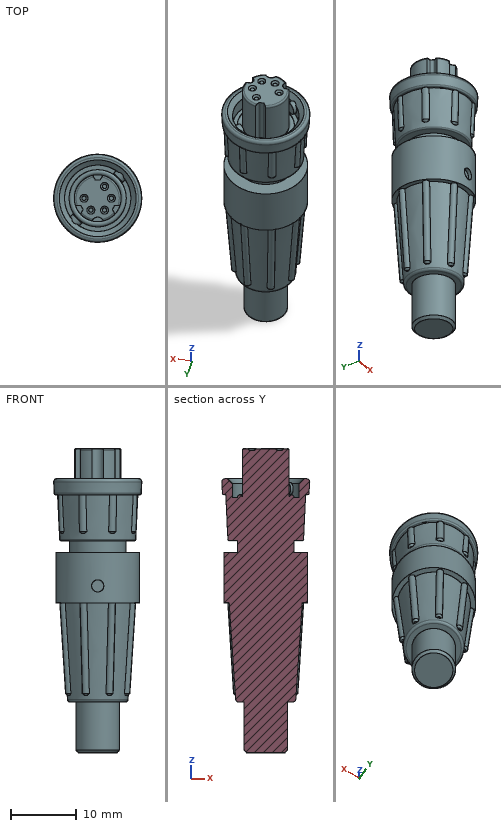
import cadquery as cq
import math

overall_length = 46.55
handle_bottom = 7.78
collar_bottom = 22.95
collar_top = 30.7
nut_bottom = 32.45
rim_bottom = 39.5
rim_top = 42.0

sleeve_radius = 3.35
sleeve_end_chamfer = 0.4

handle_bottom_radius = 4.6
handle_top_radius = 5.65
handle_edge_fillet = 0.4
handle_rib_bottom = 8.8
handle_rib_radius = 0.55
handle_rib_axis_bottom = 4.7
handle_rib_axis_top = 5.7

collar_radius = 6.43
collar_hole_radius = 0.95
collar_hole_depth = 0.6
collar_hole_z = 25.55
neck_radius = 4.35

nut_bottom_radius = 5.8
nut_top_radius = 6.15
nut_edge_fillet = 0.25
nut_rib_bottom = 33.55
nut_rib_radius = 0.65
nut_rib_axis_bottom = 5.65
nut_rib_axis_top = 5.8
rib_end_chamfer = 0.33
rib_count = 8

rim_radius = 6.75
rim_bottom_radius = 6.65
rim_widest = 41.45
rim_top_fillet = 0.5
rim_bottom_fillet = 0.3
cavity_mouth_radius = 5.85
cavity_radius = 5.08
cavity_depth = 2.9

pin_radius = 1.0
pin_tip_distance = 4.4
pin_depth = 1.6
pin_angles = (45, 225)

seal_outer_radius = 4.38
insert_radius = 3.6
insert_end_fillet = 0.3

contact_circle_radius = 2.1
contact_angles = (0, 60, 180, 240, 300)
contact_mouth_radius = 0.6
contact_floor_radius = 0.33
contact_depth = 0.3

keyway_angles = (90, 210, 330)
keyway_floor_distance = 2.8
keyway_floor_width = 0.75
keyway_corner_fillet = 0.15
keyway_overrun = 0.45
keyway_flare_angle = 30
round_keyway_radius = 0.95
round_keyway_distance = 3.8

cavity_floor = rim_top - cavity_depth


def disc(radius, bottom, top):
    return cq.Workplane("XY").workplane(offset=bottom).circle(radius).extrude(top - bottom)


def cone(bottom_radius, top_radius, bottom, top):
    profile = [(0, bottom), (bottom_radius, bottom), (top_radius, top), (0, top)]
    return cq.Workplane("XZ").polyline(profile).close().revolve(360, (0, 0), (0, 1))


def ribs(radius, axis_bottom, axis_top, bottom, top):
    """Round ribs that lean with a tapered body, spaced evenly around it."""
    slope = cq.Vector(axis_top - axis_bottom, 0, top - bottom)
    start = cq.Plane(origin=(axis_bottom, 0, bottom), xDir=(0, 1, 0), normal=slope.toTuple())
    rib = cq.Workplane(start).circle(radius).extrude(slope.Length)
    rib = rib.faces("<Z").chamfer(rib_end_chamfer)
    pitch = 360 / rib_count
    angles = [(index + 0.5) * pitch for index in range(rib_count)]
    return [rib.rotate((0, 0, 0), (0, 0, 1), angle).val() for angle in angles]


def add_all(body, solids):
    for solid in solids:
        body = body.union(cq.Workplane(solid))
    return body


def make_handle():
    sleeve = disc(sleeve_radius, 0, handle_bottom).faces("<Z").chamfer(sleeve_end_chamfer)
    grip = cone(handle_bottom_radius, handle_top_radius, handle_bottom, collar_bottom)
    grip = grip.faces("<Z").edges().fillet(handle_edge_fillet)
    grip = add_all(grip, ribs(handle_rib_radius, handle_rib_axis_bottom, handle_rib_axis_top,
                              handle_rib_bottom, collar_bottom))
    return sleeve.union(grip)


def make_collar():
    collar = disc(collar_radius, collar_bottom, collar_top)
    hole = (
        cq.Workplane("XZ", origin=(0, -collar_radius, 0))
        .center(0, collar_hole_z)
        .circle(collar_hole_radius)
        .extrude(-collar_hole_depth)
    )
    return collar.cut(hole).union(disc(neck_radius, collar_top, nut_bottom))


def make_nut():
    nut = cone(nut_bottom_radius, nut_top_radius, nut_bottom, rim_bottom)
    nut = nut.faces("<Z").edges().fillet(nut_edge_fillet)
    nut = add_all(nut, ribs(nut_rib_radius, nut_rib_axis_bottom, nut_rib_axis_top,
                            nut_rib_bottom, rim_bottom))
    rim = cone(rim_bottom_radius, rim_radius, rim_bottom, rim_widest)
    rim = rim.union(disc(rim_radius, rim_widest, rim_top))
    rim = rim.faces(">Z").edges().fillet(rim_top_fillet)
    rim = rim.faces("<Z").edges().fillet(rim_bottom_fillet)
    mouth_depth = cavity_mouth_radius - cavity_radius
    mouth = cone(cavity_radius, cavity_mouth_radius, rim_top - mouth_depth, rim_top)
    cavity = disc(cavity_radius, cavity_floor, rim_top)
    return nut.union(rim).cut(cavity).cut(mouth)


def make_pins():
    wall_radius = (cavity_mouth_radius + rim_radius) / 2
    pin = (
        cq.Workplane("YZ", origin=(pin_tip_distance, 0, rim_top - pin_depth))
        .circle(pin_radius)
        .extrude(wall_radius - pin_tip_distance)
    )
    return [pin.rotate((0, 0, 0), (0, 0, 1), angle).val() for angle in pin_angles]


def make_seal():
    section_radius = (seal_outer_radius - insert_radius) / 2
    ring_radius = insert_radius + section_radius
    return cq.Workplane(cq.Solid.makeTorus(ring_radius, section_radius, cq.Vector(0, 0, cavity_floor)))


def make_keyway():
    """Keyway pointing along +X, its sides flaring outwards from a flat floor."""
    mouth_distance = insert_radius + keyway_overrun
    floor_half = keyway_floor_width / 2
    flare = (mouth_distance - keyway_floor_distance) * math.tan(math.radians(keyway_flare_angle))
    mouth_half = floor_half + flare
    return (
        cq.Workplane("XY", origin=(0, 0, cavity_floor))
        .polyline([
            (keyway_floor_distance, -floor_half),
            (mouth_distance, -mouth_half),
            (mouth_distance, mouth_half),
            (keyway_floor_distance, floor_half),
        ])
        .close()
        .extrude(overall_length - cavity_floor)
        .faces("<X")
        .edges("|Z")
        .fillet(keyway_corner_fillet)
    )


def make_insert():
    insert = disc(insert_radius, cavity_floor, overall_length)
    insert = insert.faces(">Z").edges().fillet(insert_end_fillet)
    keyway = make_keyway()
    for angle in keyway_angles:
        insert = insert.cut(keyway.rotate((0, 0, 0), (0, 0, 1), angle))
    round_keyway = disc(round_keyway_radius, cavity_floor, overall_length)
    insert = insert.cut(round_keyway.translate((0, -round_keyway_distance, 0)))

    contact_floor = overall_length - contact_depth
    contact = cone(contact_floor_radius, contact_mouth_radius, contact_floor, overall_length)
    contact = contact.translate((contact_circle_radius, 0, 0))
    for angle in contact_angles:
        insert = insert.cut(contact.rotate((0, 0, 0), (0, 0, 1), angle))
    return insert


connector = make_handle().union(make_collar()).union(make_nut())
connector = add_all(connector, make_pins())
result = connector.union(make_insert()).union(make_seal())